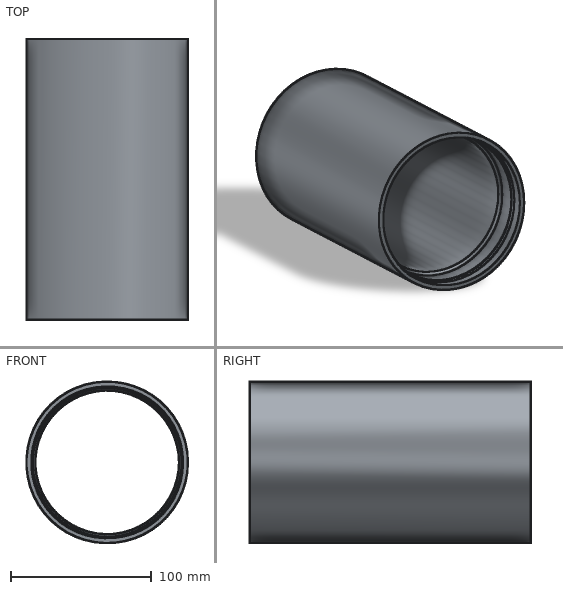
import cadquery as cq

length = 200.0
outer_radius = 115.0 / 2
mouth_radius = 54.0
lip_radius = 53.0
seat_radius = 53.2
bore_radius = 51.0

mouth_length = 9.0
lip_taper_length = 2.5
lip_land_length = 0.5
seat_length = 15.2
bore_taper_length = 2.0

front = -length / 2
back = length / 2
mouth_end = front + mouth_length
lip_start = mouth_end + lip_taper_length
lip_end = lip_start + lip_land_length
seat_end = lip_end + seat_length
bore_start = seat_end + bore_taper_length

wall_section = (
    cq.Workplane("XY")
    .moveTo(outer_radius, front)
    .lineTo(outer_radius, back)
    .lineTo(bore_radius, back)
    .lineTo(bore_radius, bore_start)
    .lineTo(seat_radius, seat_end)
    .lineTo(seat_radius, lip_end)
    .lineTo(lip_radius, lip_end)
    .lineTo(lip_radius, lip_start)
    .lineTo(mouth_radius, mouth_end)
    .lineTo(mouth_radius, front)
    .close()
)

result = wall_section.revolve(360, (0, 0, 0), (0, 1, 0))